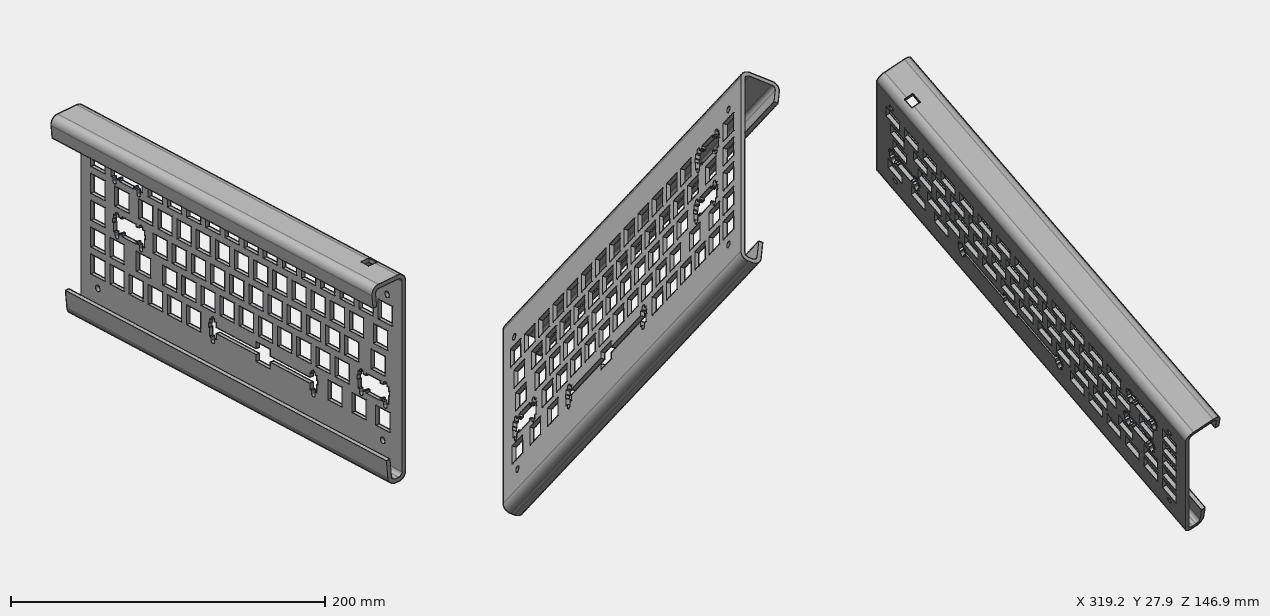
import cadquery as cq
import math

length = 319.2
depth = 27.87
height = 146.92
sheet = 3.0
bend_radius = 6.0
tilt = 5.55
top_lip = 9.2
bottom_flange = 2.75
bottom_lip = 12.8

pitch = 19.05
switch = 14.0
row_pitches = 15
first_column_x = (length - row_pitches * pitch) / 2
first_row_drop = 34.2

switch_rows = [
    [0] + list(range(3, row_pitches + 1)),
    [0, 1.25] + [2.5 + n for n in range(12)] + [14.75],
    [0] + [3.25 + n for n in range(11)] + [14.625],
    [0, 1, 2.375] + [3.75 + n for n in range(10)],
    [0, 1, 2, 3, 4, 5, 8.625, 12.375, 13.625, 14.875],
]
wide_keys = [(0, 1.5), (2, 1.625), (3, 14.375)]
space_row = 4
space_position = 8.625

wide_key_spread = 11.94
space_spread = 50.0
housing_width = 6.75
housing_top = 5.6
housing_bottom = 6.5
leg_width = 3.3
leg_top = 8.2
leg_bottom = 10.5
clip_reach = 4.2
clip_top = 2.5
clip_bottom = -0.5
wide_key_bridge = 10.6
space_bridge = 4.2

screw_diameter = 4.3
screw_places = [
    (first_column_x, 20.6),
    (304.3, 20.6),
    (first_column_x, 125.2),
    (300.0, 125.7),
]

port_width = 7.7
port_depth = 6.8
port_right = 22.6
port_back = 4.9

sin_tilt = math.sin(math.radians(tilt))
cos_tilt = math.cos(math.radians(tilt))
top_flange = (depth - 2 * bend_radius) / cos_tilt
plate_bottom = bend_radius + bottom_flange * sin_tilt
plate_top = height - bend_radius


def bend_point(center, radius, angle):
    """Point (y, z) on a bend, the angle measured from +Y towards +Z."""
    a = math.radians(angle)
    return (center[0] + radius * math.cos(a), center[1] + radius * math.sin(a))


def moved(point, distance, direction):
    return (point[0] + distance * direction[0], point[1] + distance * direction[1])


def folded_sheet():
    """Plate along the back (y = 0), hooked forwards at the top and at the bottom."""
    inner = bend_radius - sheet
    along_flange = (-cos_tilt, -sin_tilt)
    along_lip = (sin_tilt, -cos_tilt)
    top_back = (-bend_radius, plate_top)
    top_front = moved(top_back, top_flange, along_flange)
    bottom_back = (-bend_radius, plate_bottom)
    bottom_front = moved(bottom_back, bottom_flange, along_flange)

    top_bends = [(top_back, 0, 90 + tilt), (top_front, 90 + tilt, 180 + tilt)]
    bottom_bends = [(bottom_front, 180 + tilt, 270 + tilt), (bottom_back, 270 + tilt, 360)]

    def trace(outline, bends, radius):
        for center, start, end in bends:
            outline = outline.lineTo(*bend_point(center, radius, start))
            middle = bend_point(center, radius, (start + end) / 2)
            outline = outline.threePointArc(middle, bend_point(center, radius, end))
        return outline

    def reverse(bends):
        return [(center, end, start) for center, start, end in reversed(bends)]

    def lip_end(center, radius, lip):
        return moved(bend_point(center, radius, 180 + tilt), lip, along_lip)

    outline = cq.Workplane("YZ").moveTo(*lip_end(bottom_front, bend_radius, -bottom_lip))
    outline = trace(outline, bottom_bends + top_bends, bend_radius)
    outline = outline.lineTo(*lip_end(top_front, bend_radius, top_lip))
    outline = outline.lineTo(*lip_end(top_front, inner, top_lip))
    outline = trace(outline, reverse(bottom_bends + top_bends), inner)
    outline = outline.lineTo(*lip_end(bottom_front, inner, -bottom_lip))
    return outline.close().extrude(length)


def plate_box(x, z, left, right, bottom, top):
    """Cutter through the plate, its sides given from the point (x, z)."""
    box = cq.Workplane("XY").box(right - left, sheet, top - bottom, centered=False)
    return box.translate((x + left, -sheet, z + bottom)).val()


def key_center(row, position):
    return first_column_x + position * pitch, height - first_row_drop - row * pitch


def switch_cutter(row, position):
    half = switch / 2
    return plate_box(*key_center(row, position), -half, half, -half, half)


def leg_slot(x, z):
    """Upright slot with round ends, reaching above and below the housing."""
    slot = cq.Workplane("XZ").slot2D(leg_top + leg_bottom, leg_width, angle=90).extrude(sheet)
    return slot.translate((x, 0, z + (leg_top - leg_bottom) / 2)).val()


def stabilizer_cutters(row, position, spread, bridge):
    """A housing on each side of the key, joined by a bridge for the wire."""
    x, z = key_center(row, position)
    cutters = [plate_box(x, z, -spread, spread, -bridge / 2, bridge / 2)]
    for side in (-1, 1):
        center = x + side * spread
        clip = sorted((0, side * clip_reach))
        cutters += [
            plate_box(center, z, -housing_width / 2, housing_width / 2, -housing_bottom, housing_top),
            leg_slot(center, z),
            plate_box(center, z, *clip, clip_bottom, clip_top),
        ]
    return cutters


def screw_cutter(x, drop):
    hole = cq.Workplane("XZ").circle(screw_diameter / 2).extrude(sheet)
    return hole.translate((x, 0, height - drop)).val()


def port_cutter():
    """Upright cutter through the top flange and the rear of its back bend."""
    box = cq.Workplane("XY").box(port_width, port_depth, bend_radius * 2, centered=False)
    corner = (length - port_right - port_width, -port_back - port_depth, plate_top - bend_radius)
    return box.translate(corner).val()


cutters = [port_cutter()]
for row, positions in enumerate(switch_rows):
    cutters += [switch_cutter(row, position) for position in positions]
for row, position in wide_keys:
    cutters.append(switch_cutter(row, position))
    cutters += stabilizer_cutters(row, position, wide_key_spread, wide_key_bridge)
cutters += stabilizer_cutters(space_row, space_position, space_spread, space_bridge)
cutters += [screw_cutter(x, drop) for x, drop in screw_places]

result = cq.Workplane(folded_sheet().val().cut(*cutters).clean())